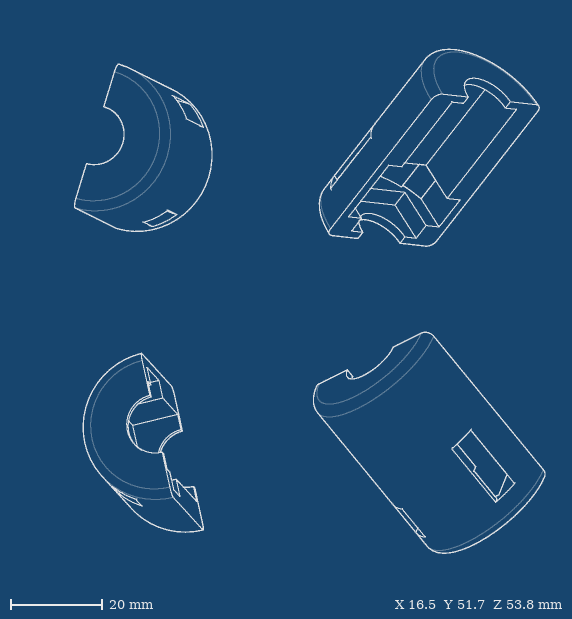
import cadquery as cq

outer_radius = 16.5
body_length = 44.5
edge_fillet = 2.0
tilt_angle = 37.6

cavity_width = 20.0
cavity_depth = 10.2
end_wall = 2.0
cavity_length = body_length - 2 * end_wall
hole_radius = 6.5

groove_bottom = -16.25
groove_top = -7.75
groove_radius = 15.5
window_reach = 14.05
long_window_top = -0.05


def block(depth, y_min, y_max, z_min, z_max):
    """Box that starts on the flat face and runs to the given depth in X."""
    size_y = y_max - y_min
    size_z = z_max - z_min
    return cq.Workplane("XY").box(depth, size_y, size_z, centered=False).translate((0, y_min, z_min))


def cylinder(radius, z_min, z_max):
    """Cylinder on the Z axis between two heights."""
    return cq.Workplane("XY").workplane(offset=z_min).circle(radius).extrude(z_max - z_min)


def half_body():
    """Cylinder with rounded end edges, cut in half along its axis."""
    half_length = body_length / 2
    full = cylinder(outer_radius, -half_length, half_length).edges("%CIRCLE").fillet(edge_fillet)
    return full.intersect(block(outer_radius, -outer_radius, outer_radius, -half_length, half_length))


half_width = cavity_width / 2
half_cavity = cavity_length / 2

cavity = block(cavity_depth, -half_width, half_width, -half_cavity, half_cavity)
end_holes = cylinder(hole_radius, -body_length / 2, body_length / 2)

groove = cylinder(groove_radius, groove_bottom, groove_top).intersect(
    block(outer_radius, -half_width, half_width, groove_bottom, groove_top)
)
long_window = block(outer_radius, half_width, window_reach, groove_bottom, long_window_top)
short_window = block(outer_radius, -window_reach, -half_width, groove_bottom, groove_top)

upright = half_body()
for void in (cavity, end_holes, groove, long_window, short_window):
    upright = upright.cut(void)

result = upright.rotate((0, 0, 0), (1, 0, 0), tilt_angle)